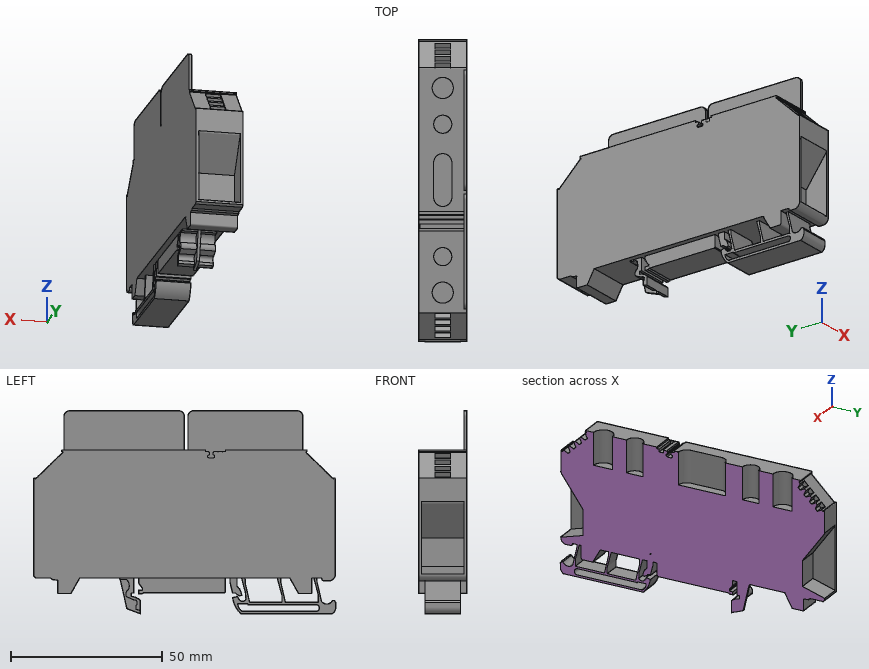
import cadquery as cq
import math


total_length = 100.0
total_height = 67.25
body_width = 16.0
rear_end = total_length / 2
foot_end = -total_length / 2
front_end = foot_end + 0.2
body_mid = (rear_end + front_end) / 2
mid_x = body_width / 2

body_bottom = 11.8
body_top = 54.3
shoulder_z = 45.0
top_half_length = 40.6
lip_height = 0.65
lip_overhang = 0.3
lip_undercut = 0.25
lip_edge_radius = 0.35
shoulder_ledge = 0.6
shoulder_lip = 0.35

leg_bottom = 6.7
leg_outer = 42.1
leg_foot_inner = 37.65
leg_root_inner = 34.75
leg_corner_radius = 0.5

rail_width = 11.8
rail_x = (body_width - rail_width) / 2
rail_x_far = rail_x + rail_width


def prism(points, x_start, x_end):
    """Extrude a closed (Y, Z) polygon along X."""
    return cq.Workplane("YZ", origin=(x_start, 0, 0)).polyline(points).close().extrude(x_end - x_start)


def box(x_range, y_range, z_range):
    """Box between pairs of limits along each axis."""
    size = [high - low for low, high in (x_range, y_range, z_range)]
    corner = (x_range[0], y_range[0], z_range[0])
    return cq.Workplane("XY").box(*size, centered=False).translate(corner)


half_length = (rear_end - front_end) / 2
slope_low = (half_length - shoulder_ledge, shoulder_z - shoulder_lip)
slope_high = (top_half_length - lip_overhang, body_top - lip_height - lip_undercut)


def make_body():
    """Side plate outline with lipped sloped ends and a rounded bump under the front end."""
    bump_bottom = 10.9
    rear_corner = 0.7
    heel_top, heel_bottom = 44.4, 11.1
    front_round_top, front_round_run = 12.6, 1.7

    def mirrored(side, points):
        return [(body_mid + side * y, z) for y, z in points]

    end_points = [
        (half_length, shoulder_z),
        (slope_low[0], shoulder_z),
        slope_low,
        slope_high,
        (slope_high[0], body_top - lip_height),
        (top_half_length, body_top - lip_height),
        (top_half_length, body_top),
    ]
    outline = cq.Workplane("YZ").moveTo(rear_end, body_bottom + rear_corner)
    for y, z in mirrored(1, end_points) + mirrored(-1, end_points)[::-1]:
        outline = outline.lineTo(y, z)
    outline = (
        outline.lineTo(front_end, front_round_top)
        .threePointArc((-49.35, 11.7), (front_end + front_round_run, bump_bottom))
        .lineTo(-46.0, bump_bottom)
        .threePointArc((-45.5, 11.2), (-45.3, body_bottom))
        .lineTo(heel_top, body_bottom)
        .lineTo(rear_end - rear_corner, body_bottom)
        .close()
    )
    body = outline.extrude(body_width)

    for side in (1, -1):
        for distance, height in ((half_length, shoulder_z), (top_half_length, body_top)):
            lip_edge = cq.selectors.NearestToPointSelector((mid_x, body_mid + side * distance, height))
            body = body.edges(lip_edge).fillet(lip_edge_radius)
        leg = prism(
            [
                (side * leg_outer, body_bottom),
                (side * leg_outer, leg_bottom),
                (side * leg_foot_inner, leg_bottom),
                (side * leg_root_inner, body_bottom),
            ],
            0,
            body_width,
        )
        outer_edge = cq.selectors.NearestToPointSelector((mid_x, side * leg_outer, leg_bottom))
        body = body.union(leg.edges(outer_edge).fillet(leg_corner_radius))

    heel = prism(
        [(heel_top, body_bottom), (43.8, 11.3), (leg_outer, heel_bottom), (leg_outer, body_bottom)],
        0,
        body_width,
    )
    return body.union(heel)


flag_thickness = 1.0
flag_corner_radius = 2.0
flag_inner_x = body_width - flag_thickness
flag_spans = ((0.1, 40.0), (-39.1, -1.0))


def make_flag(y_range):
    flag = box((flag_inner_x, body_width), y_range, (body_top, total_height))
    return flag.edges("|X and >Z").fillet(flag_corner_radius)


access_depth = 12.0
large_hole_diameter = 7.0
small_hole_diameter = 6.0
large_hole_places = (34.0, -33.7)
small_hole_places = (22.0, -21.8)
long_slot_mid = 3.55
long_slot_length = 17.5


def make_top_openings():
    """Round screwdriver openings and the long test slot, sunk from the top face."""
    openings = [(y, large_hole_diameter) for y in large_hole_places]
    openings += [(y, small_hole_diameter) for y in small_hole_places]
    floor_z = body_top - access_depth
    cutter = (
        cq.Workplane("XY", origin=(mid_x, long_slot_mid, floor_z))
        .slot2D(long_slot_length, small_hole_diameter, 90)
        .extrude(access_depth)
    )
    for y, diameter in openings:
        hole = cq.Workplane("XY", origin=(mid_x, y, floor_z)).circle(diameter / 2).extrude(access_depth)
        cutter = cutter.union(hole)
    return cutter


def make_marker_groove():
    """Shallow step across the top with an undercut key groove and a sunk pocket in its floor."""
    step_depth = 0.6
    step_floor = body_top - step_depth
    step = box((0, flag_inner_x), (-13.4, -6.9), (step_floor, body_top))

    key_mid = -8.75
    mouth_half, neck_half, head_half, base_half = 0.9, 0.6, 1.15, 0.75
    neck_top = body_top - 0.95
    neck_bottom = body_top - 1.6
    head_low = body_top - 2.4
    base = body_top - 2.75
    half_profile = [
        (mouth_half, step_floor),
        (neck_half, neck_top),
        (neck_half, neck_bottom),
        (head_half, neck_bottom - 0.4),
        (head_half, head_low),
        (base_half, base),
    ]
    left = [(key_mid - half, z) for half, z in half_profile]
    right = [(key_mid + half, z) for half, z in half_profile]
    key = prism(left + right[::-1], 0, flag_inner_x)

    pocket_wall = 0.4
    pocket_depth = 1.0
    pocket = box((pocket_wall, flag_inner_x), (-12.5, -11.0), (step_floor - pocket_depth, step_floor))
    return step.union(key).union(pocket)


vent_count = 4
vent_width = 5.2
vent_x = (mid_x - vent_width / 2, mid_x + vent_width / 2)
vent_depth = 1.7
vent_mouth = 2.1
vent_floor = 1.0
vent_pitch = 3.0
first_vent = 1.6


def make_vents(side):
    """Row of slots in one sloped end face, narrowing toward their floors."""
    run = slope_low[0] - slope_high[0]
    drop = slope_high[1] - slope_low[1]
    slope_length = math.hypot(run, drop)
    down_y, down_z = run / slope_length, -drop / slope_length
    section = [
        (-vent_mouth / 2, 0),
        (vent_mouth / 2, 0),
        (vent_floor / 2, vent_depth),
        (-vent_floor / 2, vent_depth),
    ]
    vents = []
    for index in range(vent_count):
        middle = first_vent + index * vent_pitch
        corners = []
        for offset, depth in section:
            distance = middle + offset
            y = slope_high[0] + down_y * distance + down_z * depth
            z = slope_high[1] + down_z * distance - down_y * depth
            corners.append((body_mid + side * y, z))
        vents.append(prism(corners, *vent_x))
    return vents


def make_wire_entry(side):
    """Funnel-shaped wire opening in one end face."""
    wall = 0.95
    depth = 8.4
    rim_depth = 0.2
    profile = [
        (half_length, 13.25),
        (half_length, 37.1),
        (half_length - rim_depth, 36.5),
        (half_length - depth, 25.1),
        (half_length - depth, 15.75),
    ]
    return prism([(body_mid + side * y, z) for y, z in profile], wall, body_width - wall)


def make_rail_block():
    """Block between the rail flanges, notched at its rear end for the rail lip."""
    bottom = 6.95
    corner = 0.3
    front, rear, notch = -13.4, 15.3, 14.0
    return prism(
        [
            (front, body_bottom),
            (front, bottom + corner),
            (front + corner, bottom),
            (13.6, bottom),
            (14.2, 6.6),
            (rear, 6.6),
            (rear, 7.85),
            (notch, 7.9),
            (notch, 8.4),
            (rear, 10.2),
            (rear, body_bottom),
        ],
        rail_x,
        rail_x_far,
    )


def make_fixed_hook():
    """Rear rail hook: a wavy spring strip stiffened by a thin rib in its middle."""
    rib_thickness = 1.0
    rail_side = [
        (14.65, 4.35),
        (15.1, 4.9),
        (16.3, 5.5),
        (17.7, 5.9),
        (17.7, 6.9),
        (16.8, 6.9),
        (16.8, body_bottom),
    ]
    rib_back = [(21.6, body_bottom), (21.2, 10.6), (19.2, 1.8), (18.7, 1.5), (14.65, 0.0)]
    rib = prism(rib_back + rail_side, mid_x - rib_thickness / 2, mid_x + rib_thickness / 2)

    strip = (
        cq.Workplane("YZ", origin=(rail_x, 0, 0))
        .moveTo(21.6, body_bottom)
        .lineTo(21.35, 11.3)
        .lineTo(19.2, 11.3)
        .threePointArc((18.35, 9.3), (18.6, 8.1))
        .lineTo(19.2, 7.5)
        .threePointArc((19.5, 6.6), (19.3, 5.7))
        .lineTo(16.9, 4.65)
        .threePointArc((15.75, 3.9), (15.95, 3.0))
        .lineTo(16.2, 2.5)
        .lineTo(16.2, 1.5)
        .lineTo(14.65, 1.1)
    )
    for y, z in rail_side:
        strip = strip.lineTo(y, z)
    return strip.close().extrude(rail_width).union(rib)


def make_stop_arm():
    """Short barbed arm that limits the travel of the sprung foot."""
    return prism(
        [
            (-14.9, body_bottom),
            (-14.9, 10.5),
            (-15.8, 6.9),
            (-16.8, 6.9),
            (-17.35, 6.3),
            (-18.1, 5.95),
            (-18.9, 6.1),
            (-18.6, 7.3),
            (-18.2, 8.2),
            (-17.3, 9.2),
            (-17.3, body_bottom),
        ],
        rail_x,
        rail_x_far,
    )


def make_sprung_foot():
    """Release foot: a slotted bar with a rail hook and a pull, hung from three slanted ribs."""
    bar_top = 3.9
    bar = (
        cq.Workplane("YZ", origin=(rail_x, 0, 0))
        .moveTo(-18.65, 0)
        .lineTo(-48.7, 0)
        .threePointArc((-49.55, 0.75), (foot_end, 2.1))
        .lineTo(foot_end, 3.7)
        .lineTo(-49.5, 4.5)
        .lineTo(-48.9, 4.45)
        .threePointArc((-46.8, 3.3), (-45.3, 4.1))
        .lineTo(-44.15, bar_top)
        .lineTo(-20.5, bar_top)
        .lineTo(-20.3, 5.0)
        .threePointArc((-19.0, 4.2), (-17.9, 5.0))
        .lineTo(-17.4, 5.75)
        .lineTo(-15.8, 5.4)
        .threePointArc((-16.75, 2.4), (-18.65, 0))
        .close()
        .extrude(rail_width)
    )
    slot = (
        cq.Workplane("YZ", origin=(rail_x, 0, 0))
        .moveTo(-17.6, 3.3)
        .lineTo(-20.9, 3.3)
        .lineTo(-20.9, 3.0)
        .lineTo(-43.6, 3.0)
        .threePointArc((-44.5, 1.95), (-43.6, 0.9))
        .lineTo(-19.0, 0.9)
        .threePointArc((-18.2, 1.6), (-17.6, 3.3))
        .close()
        .extrude(rail_width)
    )
    first_rib = [
        (-18.8, body_bottom),
        (-20.0, 7.2),
        (-20.3, bar_top),
        (-21.5, bar_top),
        (-20.1, 9.8),
        (-20.0, body_bottom),
    ]
    middle_rib = [
        (-30.6, body_bottom),
        (-32.1, 6.2),
        (-32.1, bar_top),
        (-33.3, bar_top),
        (-31.8, 10.5),
        (-31.8, body_bottom),
    ]
    last_rib = [
        (-42.7, body_bottom),
        (-44.1, 6.5),
        (-44.15, bar_top),
        (-45.3, 4.1),
        (-43.8, 10.5),
        (-43.7, body_bottom),
    ]
    foot = bar.cut(slot)
    for rib in (first_rib, middle_rib, last_rib):
        foot = foot.union(prism(rib, rail_x, rail_x_far))
    return foot


result = make_body()
for span in flag_spans:
    result = result.union(make_flag(span))
for part in (make_rail_block(), make_fixed_hook(), make_stop_arm(), make_sprung_foot()):
    result = result.union(part)
result = result.cut(make_top_openings()).cut(make_marker_groove())
for end in (1, -1):
    result = result.cut(make_wire_entry(end))
    for vent in make_vents(end):
        result = result.cut(vent)